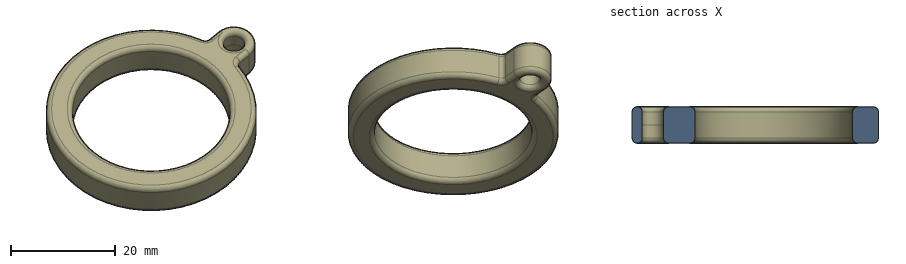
import cadquery as cq

ring_diameter = 40.0
bore_diameter = 30.0
height = 7.0
overall_length = 47.0
eyelet_diameter = 8.0
eyelet_hole_diameter = 4.0

half_height = height / 2
ring_radius = ring_diameter / 2
eyelet_radius = eyelet_diameter / 2
eyelet_hole_radius = eyelet_hole_diameter / 2
eyelet_y = overall_length - ring_radius - eyelet_radius
edge_radius = (eyelet_radius - eyelet_hole_radius) / 2
neck_fillet_radius = edge_radius


def make_half_blank():
    """Lower half of the disc and eyelet tab: filleted neck corners, rounded bottom edge."""
    disc = cq.Workplane("XY").circle(ring_radius).extrude(half_height)
    tab = (
        cq.Workplane("XY")
        .moveTo(-eyelet_radius, 0)
        .lineTo(eyelet_radius, 0)
        .lineTo(eyelet_radius, eyelet_y)
        .threePointArc((0, eyelet_y + eyelet_radius), (-eyelet_radius, eyelet_y))
        .close()
        .extrude(half_height)
    )
    blank = disc.union(tab)
    neck_y = (ring_radius**2 - eyelet_radius**2) ** 0.5
    for corner_x in (-eyelet_radius, eyelet_radius):
        corner = cq.selectors.NearestToPointSelector((corner_x, neck_y, half_height / 2))
        blank = blank.edges("|Z").edges(corner).fillet(neck_fillet_radius)
    return blank.faces("<Z").edges().fillet(edge_radius)


def make_half_eyelet_hole():
    """Cutter for the lower half of the eyelet hole, whose rim is rounded by the edge radius."""
    rim_radius = eyelet_hole_radius + edge_radius
    profile = (
        cq.Workplane("XZ")
        .lineTo(rim_radius, 0)
        .radiusArc((eyelet_hole_radius, edge_radius), edge_radius)
        .lineTo(eyelet_hole_radius, half_height)
        .lineTo(0, half_height)
        .close()
    )
    return profile.revolve(360, (0, 0, 0), (0, 1, 0)).translate((0, eyelet_y, 0))


def cut_bore(body):
    """Cut the ring bore and round its two rims."""
    body = body.cut(cq.Workplane("XY").circle(bore_diameter / 2).extrude(height))
    lower_rim = cq.selectors.NearestToPointSelector((0, 0, 0))
    upper_rim = cq.selectors.NearestToPointSelector((0, 0, height))
    return body.edges("%CIRCLE").edges(lower_rim + upper_rim).fillet(edge_radius)


def make_ring():
    """Round-edged ring with a bore and an eyelet, symmetric about its middle plane."""
    lower_half = make_half_blank().cut(make_half_eyelet_hole())
    upper_half = lower_half.mirror("XY", (0, 0, half_height))
    return cut_bore(lower_half.union(upper_half))


ring = make_ring()

result = cq.Compound.makeCompound([*ring.solids().vals()])